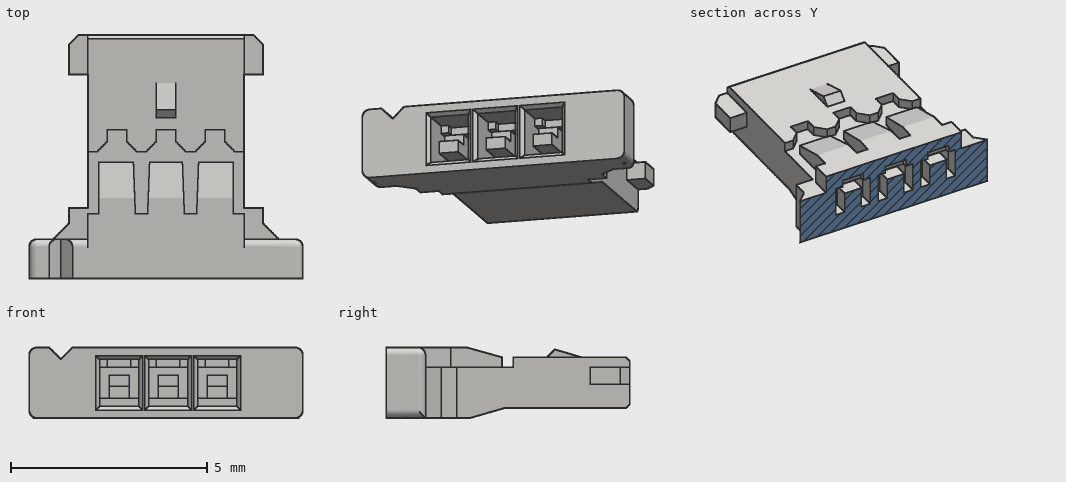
import cadquery as cq


width = 6.97
length = 6.2
height = 1.8

flange_depth = 1.005
flange_radius = 0.2
key_x = -2.675
key_depth = 0.3

body_half_width = 1.985
body_bottom = 0.25
body_top = 1.55
bottom_ramp_start = 2.15
bottom_ramp_end = 3.01
tip_chamfer = 0.1

shoulder_half_width = 2.475
shoulder_back = 1.8
shoulder_knee = 1.4
shoulder_top = 1.295
ear_half_width = shoulder_half_width
ear_start = 5.19
ear_bottom = 0.86
ear_chamfer = 0.25

lock_half_width = 0.25
lock_front = 4.09
lock_peak = 4.295
lock_back = 4.98
lock_height = 0.2

pitch = 1.25
slot_floor = shoulder_top
slot_front = 2.955
slot_back = 3.235
notch_half_width = 0.25
notch_flare = 0.25
notch_back = 3.79
tongue_root = 1.645
tongue_slope_start = 2.055
tongue_half_root = 0.47
tongue_half_tip = 0.42

cavity_shift = 0.055
cavity_width = 1.0
cavity_bottom = 0.3
cavity_top = 1.49
cavity_depth = 1.005
mouth_chamfer = 0.1
pocket_bottom = 0.5
pocket_top = 1.295
pocket_depth = 1.5
channel_depth = 1.255
channel_width = 0.6
contact_width = 0.5
contact_tip = 0.015
contact_step = 0.51
contact_tip_top = 0.81
contact_top = 1.09

row = [-pitch, 0, pitch]


def block(x0, x1, y0, y1, z0, z1):
    """Box between two opposite corners."""
    return cq.Workplane("XY").box(x1 - x0, y1 - y0, z1 - z0, centered=False).translate((x0, y0, z0))


def centred_block(x, block_width, y0, y1, z0, z1):
    """Box centred on x."""
    return block(x - block_width / 2, x + block_width / 2, y0, y1, z0, z1)


def side_profile(points, half_width):
    """Solid from a (y, z) outline, symmetric about X = 0."""
    return cq.Workplane("YZ").polyline(points).close().extrude(half_width, both=True)


def plan_profile(points, z0, z1):
    """Solid from an (x, y) outline between two heights."""
    return cq.Workplane("XY").workplane(offset=z0).polyline(points).close().extrude(z1 - z0)


def make_flange():
    blank = centred_block(0, width, 0, flange_depth, 0, height)
    flange = blank.edges("|Y and >Z").fillet(flange_radius)
    flange = flange.faces(">Y").edges("not <Z").fillet(flange_radius)
    flange = flange.intersect(blank.edges("|Y and <Z").fillet(flange_radius))
    groove = (
        cq.Workplane("XZ")
        .polyline([(key_x - key_depth, height), (key_x, height - key_depth), (key_x + key_depth, height)])
        .close()
        .extrude(-flange_depth)
    )
    return flange.cut(groove)


def make_body():
    outline = [
        (0, 0),
        (bottom_ramp_start, 0),
        (bottom_ramp_end, body_bottom),
        (length - tip_chamfer, body_bottom),
        (length, body_bottom + tip_chamfer),
        (length, body_top - tip_chamfer),
        (length - tip_chamfer, body_top),
        (slot_front, body_top),
        (tongue_slope_start, height),
        (0, height),
    ]
    return side_profile(outline, body_half_width)


def make_shoulders():
    flank_front = flange_depth / 2
    flank_half_width = shoulder_half_width + shoulder_knee - flank_front
    right = [(flank_half_width, flank_front), (shoulder_half_width, shoulder_knee),
             (shoulder_half_width, shoulder_back)]
    left = [(-x, y) for x, y in reversed(right)]
    return plan_profile(right + left, 0, shoulder_top)


def make_ears():
    right = [(ear_half_width, ear_start), (ear_half_width, length - ear_chamfer),
             (ear_half_width - ear_chamfer, length)]
    inner = [(body_half_width, length), (body_half_width, ear_start)]
    ear = plan_profile(right + inner, ear_bottom, shoulder_top)
    return ear.union(ear.mirror("YZ"))


def make_lock():
    outline = [(lock_front, body_top), (lock_peak, body_top + lock_height), (lock_back, body_top)]
    return side_profile(outline, lock_half_width)


def make_notch(x):
    flare_half_width = notch_half_width + notch_flare
    right = [(x + flare_half_width, slot_back), (x + notch_half_width, slot_back + notch_flare),
             (x + notch_half_width, notch_back)]
    left = [(2 * x - px, py) for px, py in reversed(right)]
    return plan_profile(right + left, slot_floor, height)


def make_tongue_gap(x):
    """Gap between two neighbouring tongues, wider at their tips."""
    half_root = pitch / 2 - tongue_half_root
    half_tip = pitch / 2 - tongue_half_tip
    outline = [(x - half_root, tongue_root), (x + half_root, tongue_root),
               (x + half_tip, slot_front), (x - half_tip, slot_front)]
    return plan_profile(outline, slot_floor, height)


def make_slot():
    slot = centred_block(0, 2 * body_half_width, slot_front, slot_back, slot_floor, height)
    for x in row:
        slot = slot.union(make_notch(x))
    for x in (-pitch / 2, pitch / 2):
        slot = slot.union(make_tongue_gap(x))
    outer_edge = pitch + tongue_half_root
    side = block(outer_edge, body_half_width, tongue_root, slot_front, slot_floor, height)
    return slot.union(side).union(side.mirror("YZ"))


def make_cavity(x):
    """Space around one contact: flared mouth, cavity, rear pocket and latch channel."""
    cavity_height = cavity_top - cavity_bottom
    mouth = (
        cq.Workplane("XZ")
        .center(x, cavity_bottom + cavity_height / 2)
        .rect(cavity_width + 2 * mouth_chamfer, cavity_height + 2 * mouth_chamfer)
        .workplane(offset=-mouth_chamfer)
        .rect(cavity_width, cavity_height)
        .loft()
    )
    cavity = centred_block(x, cavity_width, 0, cavity_depth, cavity_bottom, cavity_top)
    pocket = centred_block(x, cavity_width, 0, pocket_depth, pocket_bottom, pocket_top)
    channel = centred_block(x, channel_width, 0, channel_depth, pocket_top, cavity_top)
    return mouth.union(cavity).union(pocket).union(channel)


def make_contact(x):
    """Contact with a low tip, standing on the pocket floor and joined to its rear wall."""
    tip = centred_block(x, contact_width, contact_tip, pocket_depth, pocket_bottom, contact_tip_top)
    rear = centred_block(x, contact_width, contact_step, pocket_depth, pocket_bottom, contact_top)
    return tip.union(rear)


result = make_flange()
result = result.union(make_body()).union(make_shoulders()).union(make_ears()).union(make_lock())
result = result.cut(make_slot())
for position in row:
    contact_x = position + cavity_shift
    result = result.cut(make_cavity(contact_x).cut(make_contact(contact_x)))